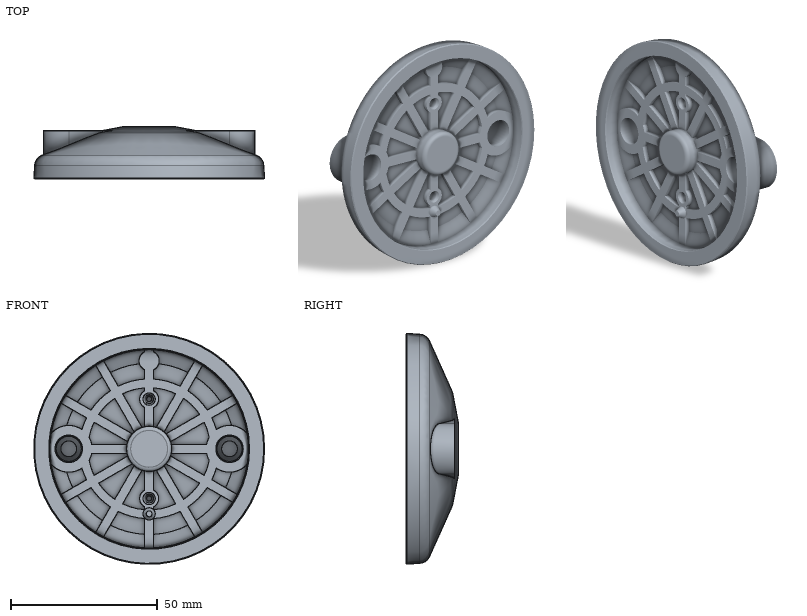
import cadquery as cq
import math


RIM_RADIUS = 39.5
TOTAL_DEPTH = 18.0
RIM_CHAMFER_RADIAL = 0.3
RIM_CHAMFER_AXIAL = 0.4
SHOULDER_RADIUS = 39.05
SHOULDER_DEPTH = 7.1
SHOULDER_FILLET = 4.0
CAP_RADIUS = 19.2
CAP_DEPTH = 16.0
CAP_FILLET = 6.0
CAP_FLAT_RADIUS = 8.7

MOUTH_RADIUS = 34.35
MOUTH_CHAMFER_RADIAL = 0.2
MOUTH_CHAMFER_AXIAL = 0.4
WEB_PLANE = 5.0
WALL_RADIUS = 33.9
FLOOR_RADIUS = 29.3
FLOOR_DEPTH = 6.8
WEB_OVERLAP = 0.5

RIB_COUNT = 12
RIB_WIDTH = 3.1
RING_INNER_RADIUS = 20.9
RING_OUTER_RADIUS = 23.9

CENTRE_BOSS_RADIUS = 7.75
CENTRE_BOSS_TIP_RADIUS = 7.7
CENTRE_BOSS_FACE = 0.5
CENTRE_BOSS_FILLET = 1.4

MOUNT_OFFSET = 27.5
MOUNT_PAD_RADIUS = 8.0
MOUNT_HOLE_RADIUS = 4.7
MOUNT_HOLE_END_RADIUS = 4.3
MOUNT_HOLE_END = 15.0
MOUNT_CONE_TIP_RADIUS = 2.7
MOUNT_CONE_HEIGHT = 1.5
MOUNT_POST_RADIUS = 8.65
MOUNT_POST_DEPTH = 16.55
MOUNT_POST_FLARE = 6.0

SCREW_OFFSET = 17.0
SCREW_BOSS_RADIUS = 3.25
SCREW_MOUTH_RADIUS = 2.1
SCREW_STEP_RADIUS = 1.5
SCREW_END_RADIUS = 0.85
SCREW_STEP_DEPTH = 1.0
SCREW_HOLE_DEPTH = 4.0
DISC_OFFSET = 30.1
DISC_RADIUS = 3.45
PIN_OFFSET = -22.25
PIN_BASE_RADIUS = 2.1
PIN_TIP_RADIUS = 1.0
PIN_LENGTH = 2.3


def revolve_profile(points, x=0.0, z=0.0):
    """Turn a closed (radius, depth) outline about the Y-parallel axis through (x, z)."""
    turned = cq.Workplane("XY").polyline(points).close().revolve(360, (0, 0, 0), (0, 1, 0))
    return turned.translate((x, 0, z))


def plane_at(depth):
    """Workplane at the given Y whose local axes are X and Z; extrude(-d) goes toward +Y."""
    return cq.Workplane("XZ", origin=(0, depth, 0))


def disc(x, z, radius, start, end):
    return plane_at(start).center(x, z).circle(radius).extrude(start - end)


def edge_ring(radius, depth):
    """Selector for the circular edge of this radius at this depth."""
    tolerance = 0.05
    reach = radius + tolerance
    return cq.selectors.BoxSelector(
        (-reach, depth - tolerance, -reach), (reach, depth + tolerance, reach), boundingbox=True
    )


def shell_body():
    body = revolve_profile([
        (0, 0),
        (RIM_RADIUS - RIM_CHAMFER_RADIAL, 0),
        (RIM_RADIUS, RIM_CHAMFER_AXIAL),
        (SHOULDER_RADIUS, SHOULDER_DEPTH),
        (CAP_RADIUS, CAP_DEPTH),
        (CAP_FLAT_RADIUS, TOTAL_DEPTH),
        (0, TOTAL_DEPTH),
    ])
    body = body.edges(edge_ring(SHOULDER_RADIUS, SHOULDER_DEPTH)).fillet(SHOULDER_FILLET)
    return body.edges(edge_ring(CAP_RADIUS, CAP_DEPTH)).fillet(CAP_FILLET)


def mount_post(side):
    """Round-ended post behind a mounting hole, flaring toward the centre of the cover."""
    centre_half_width = MOUNT_POST_RADIUS + MOUNT_OFFSET * math.tan(math.radians(MOUNT_POST_FLARE))
    end = side * MOUNT_OFFSET
    return (
        plane_at(FLOOR_DEPTH)
        .moveTo(0, -centre_half_width)
        .lineTo(end, -MOUNT_POST_RADIUS)
        .threePointArc((end + side * MOUNT_POST_RADIUS, 0), (end, MOUNT_POST_RADIUS))
        .lineTo(0, centre_half_width)
        .close()
        .extrude(FLOOR_DEPTH - MOUNT_POST_DEPTH)
    )


def cavity():
    return revolve_profile([
        (0, 0),
        (MOUTH_RADIUS, 0),
        (MOUTH_RADIUS - MOUTH_CHAMFER_RADIAL, MOUTH_CHAMFER_AXIAL),
        (WALL_RADIUS, WEB_PLANE),
        (FLOOR_RADIUS, FLOOR_DEPTH),
        (0, FLOOR_DEPTH),
    ])


def webs():
    """Ribs, ring and flat bosses that share the web plane."""
    web_end = FLOOR_DEPTH + WEB_OVERLAP
    web_height = web_end - WEB_PLANE
    ring = plane_at(WEB_PLANE).circle(RING_OUTER_RADIUS).circle(RING_INNER_RADIUS)
    web_set = ring.extrude(-web_height)
    for index in range(RIB_COUNT // 2):
        rib = plane_at(WEB_PLANE).rect(2 * WALL_RADIUS, RIB_WIDTH).extrude(-web_height)
        angle = index * 360 / RIB_COUNT
        web_set = web_set.union(rib.rotate((0, 0, 0), (0, 1, 0), angle))
    for side in (-1, 1):
        pad = disc(side * MOUNT_OFFSET, 0, MOUNT_PAD_RADIUS, WEB_PLANE, web_end)
        screw_boss = disc(0, side * SCREW_OFFSET, SCREW_BOSS_RADIUS, WEB_PLANE, web_end)
        web_set = web_set.union(pad).union(screw_boss)
    return web_set.union(disc(0, DISC_OFFSET, DISC_RADIUS, WEB_PLANE, web_end))


def centre_boss():
    """Slightly tapered boss with a rounded face edge."""
    boss_end = FLOOR_DEPTH + WEB_OVERLAP
    boss = revolve_profile([
        (0, CENTRE_BOSS_FACE),
        (CENTRE_BOSS_TIP_RADIUS, CENTRE_BOSS_FACE),
        (CENTRE_BOSS_RADIUS, boss_end),
        (0, boss_end),
    ])
    return boss.faces("<Y").edges().fillet(CENTRE_BOSS_FILLET)


def locating_pin():
    return revolve_profile([
        (0, WEB_PLANE - PIN_LENGTH),
        (PIN_TIP_RADIUS, WEB_PLANE - PIN_LENGTH),
        (PIN_BASE_RADIUS, WEB_PLANE),
        (PIN_BASE_RADIUS, FLOOR_DEPTH),
        (0, FLOOR_DEPTH),
    ], z=PIN_OFFSET)


def mount_hole(x):
    """Blind, slightly tapered hole with a flat-topped cone standing on its bottom."""
    return revolve_profile([
        (0, WEB_PLANE),
        (MOUNT_HOLE_RADIUS, WEB_PLANE),
        (MOUNT_HOLE_END_RADIUS, MOUNT_HOLE_END),
        (MOUNT_CONE_TIP_RADIUS, MOUNT_HOLE_END - MOUNT_CONE_HEIGHT),
        (0, MOUNT_HOLE_END - MOUNT_CONE_HEIGHT),
    ], x=x)


def screw_hole(z):
    """Blind hole with a conical lead-in narrowing to a tapered bore."""
    return revolve_profile([
        (0, WEB_PLANE),
        (SCREW_MOUTH_RADIUS, WEB_PLANE),
        (SCREW_STEP_RADIUS, WEB_PLANE + SCREW_STEP_DEPTH),
        (SCREW_END_RADIUS, WEB_PLANE + SCREW_HOLE_DEPTH),
        (0, WEB_PLANE + SCREW_HOLE_DEPTH),
    ], z=z)


result = shell_body()
for side in (-1, 1):
    result = result.union(mount_post(side))
result = result.cut(cavity()).union(webs()).union(centre_boss()).union(locating_pin())
for side in (-1, 1):
    result = result.cut(mount_hole(side * MOUNT_OFFSET))
    result = result.cut(screw_hole(side * SCREW_OFFSET))